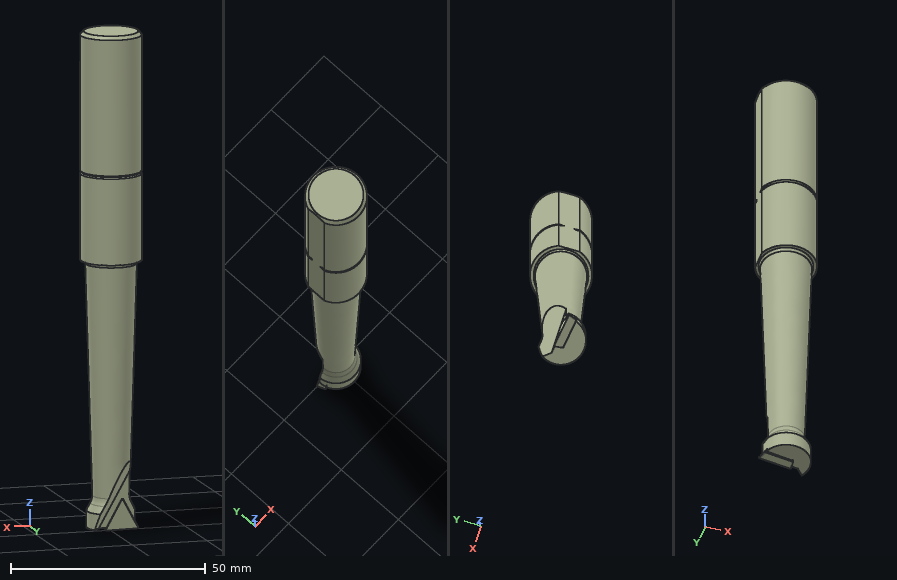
import cadquery as cq
import math

TOTAL_LENGTH = 131.0
SHANK_LENGTH = 60.0
RING_GROOVE_FROM_TOP = 37.0
HEAD_BOTTOM = 0.85
HEAD_RIM = 5.2
HEAD_SHOULDER = 7.2
NECK_BOTTOM = 9.2
COLLAR_HEIGHT = 0.9

SHANK_RADIUS = 8.0
COLLAR_RADIUS = 7.1
NECK_TOP_RADIUS = 6.7
NECK_BOTTOM_RADIUS = 4.8
SHOULDER_RADIUS = 5.4
HEAD_RADIUS = 6.4

SHANK_CHAMFER = 0.9
FLAT_DISTANCE = 7.5
RING_GROOVE_DEPTH = 0.4
RING_GROOVE_WIDTH = 0.8

INSCRIBED_DIAMETER = 5.5
INSERT_THICKNESS = 2.4
NOSE_RADIUS = 0.2
RELIEF_ANGLE = 7.0
EDGE_TILT = 1.0
NOSE_X = -7.3
NOSE_DIRECTION = 210.0
RAKE_TURN = 8.6

SHELF_DROP = 0.3
WALL_TURN = 40.0
WALL_SLOPE = 22.0
WALL_TOP = 18.3
WALL_TOP_DISTANCE = 5.1
POCKET_SIZE = 39.3

SHANK_BOTTOM = TOTAL_LENGTH - SHANK_LENGTH
NECK_TOP = SHANK_BOTTOM - COLLAR_HEIGHT


def make_turned_bar():
    """Shank, collar, tapered neck and head as one revolved profile."""
    profile = (
        cq.Workplane("XZ")
        .moveTo(0, HEAD_BOTTOM)
        .lineTo(HEAD_RADIUS, HEAD_BOTTOM)
        .lineTo(HEAD_RADIUS, HEAD_RIM)
        .lineTo(SHOULDER_RADIUS, HEAD_SHOULDER)
        .tangentArcPoint((NECK_BOTTOM_RADIUS, NECK_BOTTOM), relative=False)
        .lineTo(NECK_TOP_RADIUS, NECK_TOP)
        .lineTo(COLLAR_RADIUS, SHANK_BOTTOM)
        .lineTo(SHANK_RADIUS, SHANK_BOTTOM)
        .lineTo(SHANK_RADIUS, TOTAL_LENGTH - SHANK_CHAMFER)
        .lineTo(SHANK_RADIUS - SHANK_CHAMFER, TOTAL_LENGTH)
        .lineTo(0, TOTAL_LENGTH)
        .close()
    )
    return profile.revolve(360, (0, 0, 0), (0, 1, 0))


def make_shank_flat():
    """Block that trims the shank to a flat on the -X side."""
    return (
        cq.Workplane("XY")
        .workplane(offset=SHANK_BOTTOM)
        .center(-FLAT_DISTANCE - SHANK_RADIUS, 0)
        .rect(2 * SHANK_RADIUS, 4 * SHANK_RADIUS)
        .extrude(SHANK_LENGTH)
    )


def make_ring_groove():
    """V-shaped ring cut round the shank."""
    middle = TOTAL_LENGTH - RING_GROOVE_FROM_TOP
    return (
        cq.Workplane("XZ")
        .moveTo(SHANK_RADIUS, middle - RING_GROOVE_WIDTH / 2)
        .lineTo(SHANK_RADIUS, middle + RING_GROOVE_WIDTH / 2)
        .lineTo(SHANK_RADIUS - RING_GROOVE_DEPTH, middle)
        .close()
        .revolve(360, (0, 0, 0), (0, 1, 0))
    )


def rake_plane(drop):
    """Plane parallel to the rake face, `drop` below it, with its origin at the nose."""
    turn = math.radians(RAKE_TURN)
    along = cq.Vector(math.cos(turn), math.sin(turn), 0)
    normal = cq.Vector(-math.sin(turn), math.cos(turn), 0)
    origin = cq.Vector(NOSE_X, 0, 0) - normal * drop
    return cq.Plane(origin=origin, xDir=along, normal=normal)


def make_insert():
    """Triangular insert with rounded corners and relieved flanks."""
    circumradius = INSCRIBED_DIAMETER
    nose_reach = circumradius - 2 * NOSE_RADIUS
    nose_angle = math.radians(NOSE_DIRECTION + EDGE_TILT)
    centre_x = NOSE_RADIUS - nose_reach * math.cos(nose_angle)
    centre_z = NOSE_RADIUS - nose_reach * math.sin(nose_angle)
    corners = []
    for step in range(3):
        direction = nose_angle + math.radians(120 * step)
        corner_x = centre_x + circumradius * math.cos(direction)
        corner_z = centre_z + circumradius * math.sin(direction)
        corners.append((corner_x, -corner_z))
    sharp_insert = (
        cq.Workplane(rake_plane(0))
        .polyline(corners)
        .close()
        .extrude(-INSERT_THICKNESS, taper=RELIEF_ANGLE)
    )
    parallel_to_rake_face = cq.selectors.PerpendicularDirSelector(rake_plane(0).zDir)
    return sharp_insert.edges(-parallel_to_rake_face).fillet(NOSE_RADIUS)


def make_chip_pocket():
    """Open wedge between the shelf beside the insert and the sloping wall."""
    above_shelf = (
        cq.Workplane(rake_plane(SHELF_DROP))
        .rect(2 * POCKET_SIZE, 2 * POCKET_SIZE)
        .extrude(POCKET_SIZE)
    )
    turn = math.radians(WALL_TURN)
    slope = math.radians(WALL_SLOPE)
    outward = cq.Vector(-math.cos(turn), math.sin(turn), 0)
    across = cq.Vector(math.sin(turn), math.cos(turn), 0)
    wall_normal = outward * math.cos(slope) - cq.Vector(0, 0, math.sin(slope))
    wall_plane = cq.Plane(
        origin=outward * WALL_TOP_DISTANCE + cq.Vector(0, 0, WALL_TOP),
        xDir=across,
        normal=wall_normal,
    )
    outside_wall = (
        cq.Workplane(wall_plane)
        .rect(2 * POCKET_SIZE, 2 * POCKET_SIZE)
        .extrude(POCKET_SIZE)
    )
    return above_shelf.intersect(outside_wall)


insert = make_insert()
bar = (
    make_turned_bar()
    .cut(make_shank_flat())
    .cut(make_ring_groove())
    .cut(make_chip_pocket())
    .cut(insert)
)

result = cq.Compound.makeCompound([bar.val(), insert.val()])